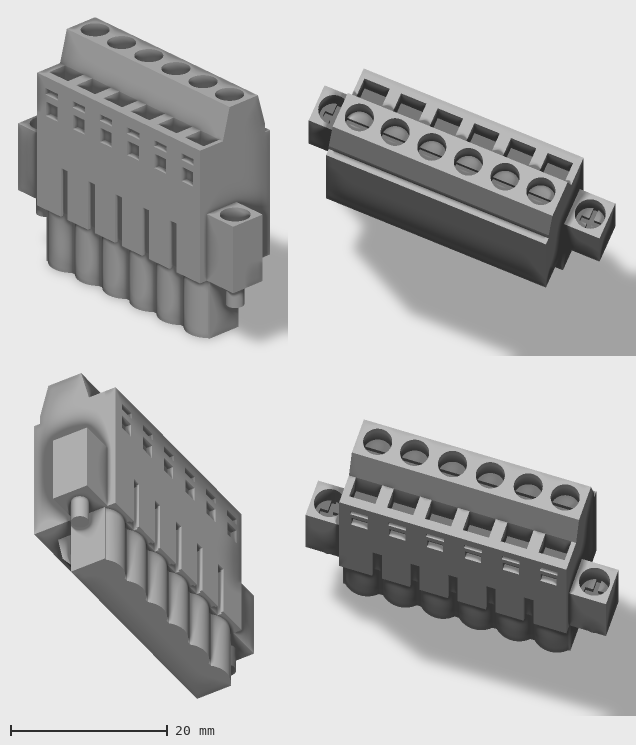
import cadquery as cq


POLE_COUNT = 6
PITCH = 5.08
BODY_WIDTH = POLE_COUNT * PITCH

BODY_DEPTH = 12.2
BODY_BOTTOM = 8.4
SHOULDER_Z = 27.3
BACK_STEP_Z = 26.1
TOP_Z = 31.8
RIDGE_FRONT_FOOT = 4.0
RIDGE_FRONT_TOP = 5.15
RIDGE_BACK_TOP = 10.05
RIDGE_BACK_FOOT = 11.3

PLUG_FRONT = 1.6
PLUG_BACK = 6.7
RIB_WIDTH = 4.5
RIB_HEIGHT = 0.93

LATCH_WIDTH = (POLE_COUNT - 1) * PITCH
LATCH_BACK = 10.2
LATCH_FRONT = 8.3
LATCH_BEND_Y = 9.5
LATCH_BEND_Z = 5.05
HOOK_BACK_Y = 8.4
HOOK_BOTTOM_Z = 3.7
HOOK_MIDDLE_Y = 8.1
HOOK_MIDDLE_Z = 3.85
HOOK_TIP_Y = 7.95
HOOK_TIP_Z = 4.5
HOOK_TOP_Z = 5.2

TOTAL_WIDTH = 40.3
FLANGE_FRONT = 1.2
FLANGE_BACK = 6.32
FLANGE_TOP = 17.9
FLANGE_WIDTH = (TOTAL_WIDTH - BODY_WIDTH) / 2

ENTRY_SHIFT = 0.15
POCKET_WIDTH = 3.5
POCKET_FRONT = 1.2
POCKET_DEPTH = 4.03
OPENING_DEPTH = 0.85
WINDOW_WIDTH = 2.38
WINDOW_HEIGHT = 0.93
WINDOW_Z = 25.2
SQUARE_WIDTH = 2.18
SQUARE_HEIGHT = 2.05
SQUARE_Z = 22.75
GROOVE_WIDTH = 1.3
GROOVE_TOP = 15.35
GROOVE_NECK_DEPTH = 0.4
GROOVE_DEPTH = 1.0
UNDERCUT = 0.3

CLAMP_RADIUS = 1.85
CLAMP_Y = (RIDGE_FRONT_TOP + RIDGE_BACK_TOP) / 2
CLAMP_RECESS = 3.22
CLAMP_LENGTH = 3.22
END_SCREW_INSET = 0.12
SLOT_WIDTH = 0.65
SLOT_DEPTH = 0.8

FLANGE_SCREW_X = 17.75
FLANGE_SCREW_Y = (FLANGE_FRONT + FLANGE_BACK) / 2
FLANGE_HOLE_RADIUS = 1.97
HEAD_RADIUS = 1.9
HEAD_RECESS = 3.22
HEAD_HEIGHT = 2.0
SHANK_RADIUS = 1.15
SHANK_BOTTOM = 5.15
CROSS_LENGTH = 2.7
CROSS_WIDTH = 0.75

pole_x = [(i - (POLE_COUNT - 1) / 2) * PITCH for i in range(POLE_COUNT)]
groove_x = [x + PITCH / 2 for x in pole_x[:-1]]
entry_x = [x + ENTRY_SHIFT for x in pole_x]
clamp_x = list(pole_x)
clamp_x[0] += END_SCREW_INSET
clamp_x[-1] -= END_SCREW_INSET

clamp_floor = TOP_Z - CLAMP_RECESS - CLAMP_LENGTH
head_top = FLANGE_TOP - HEAD_RECESS
head_bottom = head_top - HEAD_HEIGHT


def box(x_center, width, y_range, z_range):
    """Block centred on x_center that fills the given Y and Z ranges."""
    depth = y_range[1] - y_range[0]
    height = z_range[1] - z_range[0]
    block = cq.Workplane("XY").box(width, depth, height, centered=(True, False, False))
    return block.translate((x_center, y_range[0], z_range[0]))


def cylinder(x, y, radius, z_range):
    """Upright cylinder that fills the given Z range."""
    disc = cq.Workplane("XY", origin=(x, y, z_range[0])).circle(radius)
    return disc.extrude(z_range[1] - z_range[0])


def make_body():
    profile = cq.Workplane("YZ").polyline([
        (0, BODY_BOTTOM),
        (0, SHOULDER_Z),
        (RIDGE_FRONT_FOOT, SHOULDER_Z),
        (RIDGE_FRONT_TOP, TOP_Z),
        (RIDGE_BACK_TOP, TOP_Z),
        (RIDGE_BACK_FOOT, SHOULDER_Z),
        (RIDGE_BACK_FOOT, BACK_STEP_Z),
        (BODY_DEPTH, BACK_STEP_Z),
        (BODY_DEPTH, BODY_BOTTOM),
    ])
    return profile.close().extrude(BODY_WIDTH / 2, both=True)


def make_plug():
    outline = cq.Workplane("XY").moveTo(-BODY_WIDTH / 2, PLUG_BACK).lineTo(-BODY_WIDTH / 2, PLUG_FRONT)
    for x in pole_x:
        outline = outline.lineTo(x - RIB_WIDTH / 2, PLUG_FRONT)
        outline = outline.threePointArc((x, PLUG_FRONT - RIB_HEIGHT), (x + RIB_WIDTH / 2, PLUG_FRONT))
    outline = outline.lineTo(BODY_WIDTH / 2, PLUG_FRONT).lineTo(BODY_WIDTH / 2, PLUG_BACK)
    return outline.close().extrude(BODY_BOTTOM)


def make_latch():
    profile = (
        cq.Workplane("YZ")
        .moveTo(LATCH_FRONT, BODY_BOTTOM)
        .lineTo(LATCH_BACK, BODY_BOTTOM)
        .lineTo(LATCH_BEND_Y, LATCH_BEND_Z)
        .lineTo(HOOK_BACK_Y, HOOK_BOTTOM_Z)
        .threePointArc((HOOK_MIDDLE_Y, HOOK_MIDDLE_Z), (HOOK_TIP_Y, HOOK_TIP_Z))
        .lineTo(LATCH_FRONT, HOOK_TOP_Z)
    )
    return profile.close().extrude(LATCH_WIDTH / 2, both=True)


def make_groove(x):
    """T-shaped groove: a narrow neck in the front wall that widens behind it."""
    groove_z = (BODY_BOTTOM, GROOVE_TOP)
    neck = box(x, GROOVE_WIDTH, (0, GROOVE_NECK_DEPTH), groove_z)
    wide_part = box(x, GROOVE_WIDTH + 2 * UNDERCUT, (GROOVE_NECK_DEPTH, GROOVE_DEPTH), groove_z)
    return neck.union(wide_part)


def make_housing():
    housing = make_body().union(make_plug()).union(make_latch())

    for side in (-1, 1):
        flange_x = side * (BODY_WIDTH + FLANGE_WIDTH) / 2
        flange = box(flange_x, FLANGE_WIDTH, (FLANGE_FRONT, FLANGE_BACK), (BODY_BOTTOM, FLANGE_TOP))
        housing = housing.union(flange)

    for side in (-1, 1):
        screw_x = side * FLANGE_SCREW_X
        head_hole = cylinder(screw_x, FLANGE_SCREW_Y, FLANGE_HOLE_RADIUS, (head_bottom, FLANGE_TOP))
        shank_hole = cylinder(screw_x, FLANGE_SCREW_Y, SHANK_RADIUS, (BODY_BOTTOM, head_bottom))
        housing = housing.cut(head_hole).cut(shank_hole)

    for x in clamp_x:
        housing = housing.cut(cylinder(x, CLAMP_Y, CLAMP_RADIUS, (clamp_floor, TOP_Z)))

    for x in entry_x:
        pocket_y = (POCKET_FRONT, RIDGE_FRONT_FOOT)
        housing = housing.cut(box(x, POCKET_WIDTH, pocket_y, (SHOULDER_Z - POCKET_DEPTH, SHOULDER_Z)))
        for width, height, z in (
            (WINDOW_WIDTH, WINDOW_HEIGHT, WINDOW_Z),
            (SQUARE_WIDTH, SQUARE_HEIGHT, SQUARE_Z),
        ):
            housing = housing.cut(box(x, width, (0, OPENING_DEPTH), (z - height / 2, z + height / 2)))

    for x in groove_x:
        housing = housing.cut(make_groove(x))
    return housing


def make_clamp_screw(x):
    """Headless screw with one straight slot across its top."""
    screw_top = clamp_floor + CLAMP_LENGTH
    slot_y = (CLAMP_Y - SLOT_WIDTH / 2, CLAMP_Y + SLOT_WIDTH / 2)
    slot = box(x, 2 * CLAMP_RADIUS, slot_y, (screw_top - SLOT_DEPTH, screw_top))
    return cylinder(x, CLAMP_Y, CLAMP_RADIUS, (clamp_floor, screw_top)).cut(slot)


def make_flange_screw(x):
    """Headed screw with a slot across the whole head and a short bar crossing it."""
    head = cylinder(x, FLANGE_SCREW_Y, HEAD_RADIUS, (head_bottom, head_top))
    shank = cylinder(x, FLANGE_SCREW_Y, SHANK_RADIUS, (SHANK_BOTTOM, head_bottom))
    slot_z = (head_top - SLOT_DEPTH, head_top)
    slot_y = (FLANGE_SCREW_Y - HEAD_RADIUS, FLANGE_SCREW_Y + HEAD_RADIUS)
    bar_y = (FLANGE_SCREW_Y - CROSS_WIDTH / 2, FLANGE_SCREW_Y + CROSS_WIDTH / 2)
    slot = box(x, SLOT_WIDTH, slot_y, slot_z)
    bar = box(x, CROSS_LENGTH, bar_y, slot_z)
    return head.union(shank).cut(slot).cut(bar)


housing = make_housing()
clamp_screws = [make_clamp_screw(x) for x in clamp_x]
flange_screws = [make_flange_screw(side * FLANGE_SCREW_X) for side in (-1, 1)]

result = cq.Compound.makeCompound([
    housing.val(),
    *[screw.val() for screw in clamp_screws],
    *[screw.val() for screw in flange_screws],
])